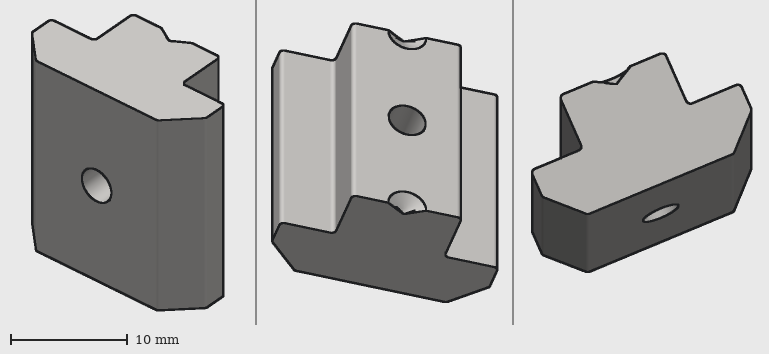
import cadquery as cq

LENGTH = 20
FLANGE_WIDTH = 19.5
STEM_WIDTH = 9.8
HEIGHT = 10.6
FLANGE_HEIGHT = 5.5
FLANGE_BEVEL = 2.95

STEM_TIP_RADIUS = 0.4
STEM_ROOT_RADIUS = 0.4
FLANGE_TOP_RADIUS = 0.38
BEVEL_RADIUS = 0.4

HOLE_DIAMETER = 3.3

MARK_DIAMETER = 3.4
MARK_DEPTH = 1

half_flange = FLANGE_WIDTH / 2
half_stem = STEM_WIDTH / 2
half_bottom = half_flange - FLANGE_BEVEL
bottom = -HEIGHT / 2
top = HEIGHT / 2
shoulder = bottom + FLANGE_HEIGHT
bevel_top = bottom + FLANGE_BEVEL


def round_edges(body, half_width, y, radius):
    """Round the mirrored pair of lengthwise edges at x = +/-half_width."""
    for x in (-half_width, half_width):
        edge = cq.selectors.NearestToPointSelector((x, y, LENGTH / 2))
        body = body.edges("|Z").edges(edge).fillet(radius)
    return body


def make_body():
    """Extrude the T profile along Z and round its corners."""
    right_half = [
        (half_bottom, bottom),
        (half_flange, bevel_top),
        (half_flange, shoulder),
        (half_stem, shoulder),
        (half_stem, top),
    ]
    left_half = [(-x, y) for x, y in reversed(right_half)]
    body = cq.Workplane("XY").polyline(right_half + left_half).close().extrude(LENGTH)
    body = round_edges(body, half_stem, top, STEM_TIP_RADIUS)
    body = round_edges(body, half_stem, shoulder, STEM_ROOT_RADIUS)
    body = round_edges(body, half_flange, shoulder, FLANGE_TOP_RADIUS)
    body = round_edges(body, half_flange, bevel_top, BEVEL_RADIUS)
    return round_edges(body, half_bottom, bottom, BEVEL_RADIUS)


def cut_hole(body):
    """Drill through along Y in the middle of the length."""
    start = cq.Vector(0, bottom, LENGTH / 2)
    drill = cq.Solid.makeCylinder(HOLE_DIAMETER / 2, HEIGHT, start, cq.Vector(0, 1, 0))
    return body.cut(drill)


def cut_end_marks(body):
    """Cut a half cone into the stem face at each end."""
    mark_profile = [(0, top), (MARK_DIAMETER / 2, top), (0, top - MARK_DEPTH)]
    half_cone = cq.Workplane("XY").polyline(mark_profile).close().revolve(180, (0, 0), (0, 1))
    upper_mark = half_cone.translate((0, 0, LENGTH))
    lower_mark = half_cone.rotate((0, 0, 0), (0, 1, 0), 180)
    return body.cut(upper_mark).cut(lower_mark)


result = cut_end_marks(cut_hole(make_body()))